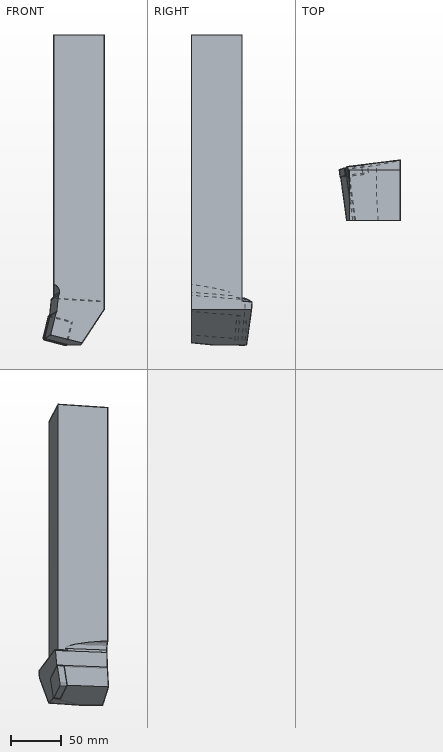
import cadquery as cq
import math

SHANK_WIDTH = 50.0
TOTAL_HEIGHT = 307.2
SHANK_BOTTOM = 37.0

LEAN_X = -0.137
LEAN_Z = -0.083
HEAD_REACH = 73.7

HEAD_TILT = math.radians(14)
HEAD_CORNER = (-3.0, 10.6)
SIDE_LENGTH = 22.5
LEDGE_OUTER = (3.0, 33.8)
HEAD_TOP_RIGHT = (61.5, 48.0)
END_LENGTH = 67.5

GROOVE_DIAMETER = 9.2
GROOVE_RADIUS = GROOVE_DIAMETER / 2
GROOVE_CENTRE = (1.2, 52.8)
GROOVE_RAMP_ANGLE = -40
GROOVE_LIP_ANGLE = -20
RUNOUT_RADIUS = 8.0
GROOVE_MOUTH = -9.2

BEVEL_TOP = 36.0
BEVEL_FOOT_X = 26.7
FLAT_BOTTOM = 0.5
FACE_POINT = (-2.0, 53.5, 46.0)
FACE_SLOPE_X = 0.129
FACE_SLOPE_Z = 0.0575

INSERT_SIDE = 24.0
INSERT_THICKNESS = 7.5
INSERT_CORNER = (-4.1, 10.0)
NOSE_RADIUS = 2.5

MARGIN = 30.7


def tilted(origin, along_end=0.0, along_side=0.0):
    """Point at the given distances along the tilted end and side directions."""
    return (
        origin[0] + along_end * math.cos(HEAD_TILT) + along_side * math.sin(HEAD_TILT),
        origin[1] - along_end * math.sin(HEAD_TILT) + along_side * math.cos(HEAD_TILT),
    )


def leaning_prism(outline):
    """Extrude an XZ face from Y = 0 along the clearance direction."""
    lean = cq.Vector(LEAN_X, 1, LEAN_Z) * HEAD_REACH
    path = cq.Workplane(cq.Edge.makeLine(cq.Vector(0, 0, 0), lean)).val()
    section = outline.wire().val()
    return cq.Workplane(cq.Solid.sweep(section, [], cq.Wire.assembleEdges([path])))


def behind_sloping_face(y_offset, y_start):
    """Block reaching from Y = y_start to the sloping face moved by y_offset."""
    size = SHANK_WIDTH + 2 * MARGIN

    def face_corner(x, z):
        y = (FACE_POINT[1] + y_offset + FACE_SLOPE_X * (x - FACE_POINT[0])
             + FACE_SLOPE_Z * (z - FACE_POINT[2]))
        return (x, y, z)

    corners_xz = [(-MARGIN, -MARGIN), (size, -MARGIN), (size, size), (-MARGIN, size)]
    near = cq.Wire.makePolygon([cq.Vector(x, y_start, z) for x, z in corners_xz], close=True)
    far = cq.Wire.makePolygon([cq.Vector(*face_corner(x, z)) for x, z in corners_xz], close=True)
    return cq.Workplane(cq.Solid.makeLoft([near, far], True))


def make_shank():
    height = TOTAL_HEIGHT - SHANK_BOTTOM
    shank = cq.Workplane("XY", origin=(0, 0, SHANK_BOTTOM)).box(
        SHANK_WIDTH, SHANK_WIDTH, height, centered=False)
    return shank.cut(make_groove())


def groove_point(angle):
    """Point on the groove arc at an angle in degrees from +X."""
    turn = math.radians(angle)
    return (
        GROOVE_CENTRE[0] + GROOVE_RADIUS * math.cos(turn),
        GROOVE_CENTRE[1] + GROOVE_RADIUS * math.sin(turn),
    )


def make_groove():
    deepest_x, deepest_z = groove_point(0)
    runout_x = deepest_x - RUNOUT_RADIUS
    runout_z = deepest_z + RUNOUT_RADIUS
    diagonal = RUNOUT_RADIUS * math.sqrt(0.5)
    outline = (
        cq.Workplane("XZ")
        .moveTo(GROOVE_MOUTH, runout_z)
        .lineTo(runout_x, runout_z)
        .threePointArc((runout_x + diagonal, deepest_z + diagonal), (deepest_x, deepest_z))
        .threePointArc(groove_point(GROOVE_RAMP_ANGLE / 2), groove_point(GROOVE_RAMP_ANGLE))
        .lineTo(*LEDGE_OUTER)
        .lineTo(GROOVE_MOUTH, LEDGE_OUTER[1])
        .close()
    )
    return leaning_prism(outline)


def make_bevel_limits():
    """Outline in XZ that bounds the bottom, the bevel and the back of the head."""
    return (
        cq.Workplane("XZ")
        .polyline([
            (-MARGIN, FLAT_BOTTOM),
            (BEVEL_FOOT_X, FLAT_BOTTOM),
            (SHANK_WIDTH, BEVEL_TOP),
            (SHANK_WIDTH, SHANK_WIDTH + MARGIN),
            (-MARGIN, SHANK_WIDTH + MARGIN),
        ])
        .close()
        .extrude(-HEAD_REACH)
    )


def make_head():
    lip_middle = (GROOVE_RAMP_ANGLE + GROOVE_LIP_ANGLE) / 2
    outline = (
        cq.Workplane("XZ")
        .moveTo(*HEAD_CORNER)
        .lineTo(*tilted(HEAD_CORNER, along_side=SIDE_LENGTH))
        .lineTo(*LEDGE_OUTER)
        .lineTo(*groove_point(GROOVE_RAMP_ANGLE))
        .threePointArc(groove_point(lip_middle), groove_point(GROOVE_LIP_ANGLE))
        .lineTo(*HEAD_TOP_RIGHT)
        .lineTo(*tilted(HEAD_CORNER, along_end=END_LENGTH))
        .close()
    )
    head = leaning_prism(outline)
    return head.intersect(make_bevel_limits()).intersect(behind_sloping_face(0, 0))


def make_insert():
    nose_end = tilted(INSERT_CORNER, along_end=NOSE_RADIUS)
    nose_side = tilted(INSERT_CORNER, along_side=NOSE_RADIUS)
    nose_inset = NOSE_RADIUS * (1 - math.sqrt(0.5))
    outline = (
        cq.Workplane("XZ")
        .moveTo(*nose_end)
        .threePointArc(tilted(INSERT_CORNER, nose_inset, nose_inset), nose_side)
        .lineTo(*tilted(INSERT_CORNER, along_side=INSERT_SIDE))
        .lineTo(*tilted(INSERT_CORNER, INSERT_SIDE, INSERT_SIDE))
        .lineTo(*tilted(INSERT_CORNER, along_end=INSERT_SIDE))
        .close()
    )
    plate = leaning_prism(outline).intersect(behind_sloping_face(0, 0))
    return plate.cut(behind_sloping_face(-INSERT_THICKNESS, -MARGIN))


insert = make_insert()
holder = make_shank().union(make_head()).cut(insert)

result = cq.Compound.makeCompound([holder.val(), insert.val()])